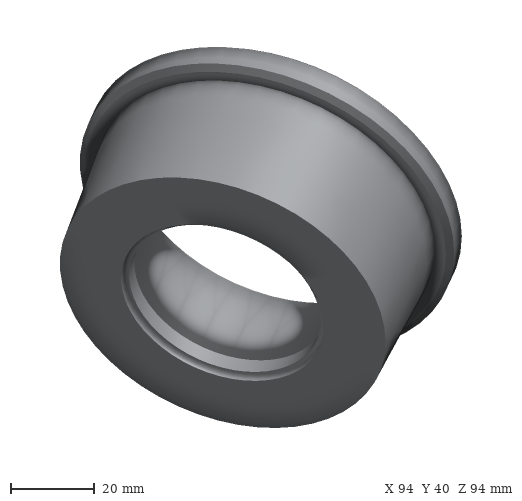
import cadquery as cq

total_length = 40.0
flange_diameter = 94.0
flange_thickness = 8.0
chamfer_length = 1.1
front_chamfer_depth = 1.7
rear_chamfer_depth = 1.1

hub_tip_diameter = 81.8
hub_root_diameter = 85.0

bore_diameter = 48.0
bore_lip_radius = 1.5
end_wall_thickness = 5.5

cavity_mouth_diameter = 75.4
cavity_mouth_length = 1.0

flange_radius = flange_diameter / 2
bore_radius = bore_diameter / 2
flange_front = total_length - flange_thickness

draft_slope = (hub_root_diameter - hub_tip_diameter) / 2 / flange_front
cavity_mouth_radius = cavity_mouth_diameter / 2
cavity_taper_end = total_length - cavity_mouth_length
cavity_floor_radius = cavity_mouth_radius - draft_slope * (cavity_taper_end - end_wall_thickness)


def turned(profile):
    """Revolve a closed half profile, x as radius, about the Y axis."""
    return profile.close().revolve(360, (0, 0, 0), (0, 1, 0))


def outer_body():
    """Tapered hub with a chamfered flange at its root."""
    return turned(
        cq.Workplane("XY")
        .moveTo(0, 0)
        .lineTo(hub_tip_diameter / 2, 0)
        .lineTo(hub_root_diameter / 2, flange_front)
        .lineTo(flange_radius - front_chamfer_depth, flange_front)
        .lineTo(flange_radius, flange_front + chamfer_length)
        .lineTo(flange_radius, total_length - chamfer_length)
        .lineTo(flange_radius - rear_chamfer_depth, total_length)
        .lineTo(0, total_length)
    )


def bore_and_cavity():
    """Bore with a rounded lip through the end wall, opening into a drafted cavity."""
    return turned(
        cq.Workplane("XY")
        .moveTo(0, 0)
        .lineTo(bore_radius + bore_lip_radius, 0)
        .radiusArc((bore_radius, bore_lip_radius), -bore_lip_radius)
        .lineTo(bore_radius, end_wall_thickness)
        .lineTo(cavity_floor_radius, end_wall_thickness)
        .lineTo(cavity_mouth_radius, cavity_taper_end)
        .lineTo(cavity_mouth_radius, total_length)
        .lineTo(0, total_length)
    )


body = outer_body().cut(bore_and_cavity())
result = body.translate((0, -total_length / 2, 0))